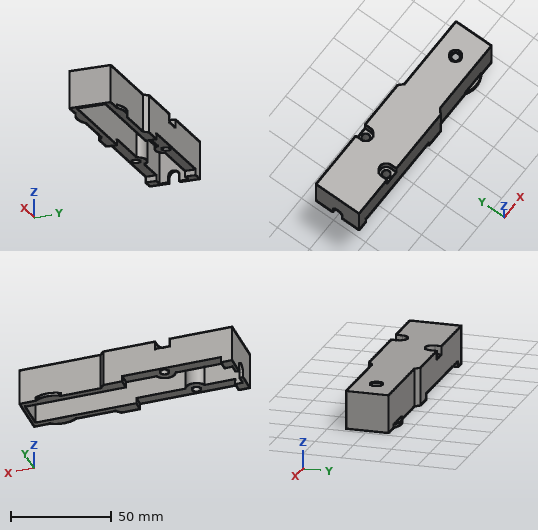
import cadquery as cq

length = 113.4
wide_width = 27.0
narrow_width = 22.2
height = 20.0
wide_length = 68.0
taper = (wide_width - narrow_width) / 2

relief_start = 5.9
relief_end = 58.2
relief_depth = 3.1

end_wall = 1.8
cavity_width = 15.4

slot_width = 5.9
slot_height = 6.0

seat_width = 7.7
seat_depth = 4.4
seat_inset = 3.4
screw_hole_diameter = 4.4
near_seat_x = 27.1
far_seat_x = 37.0
boss_wall = 1.8
screw_seats = [(near_seat_x, -1), (far_seat_x, 1)]

disc_diameter = 26.1
disc_thickness = 1.7

arm_hole_x = 98.2
arm_hole_diameter = 4.4
sink_diameter = 6.5
sink_land = 0.6
sink_cone_depth = (sink_diameter - arm_hole_diameter) / 2
roof = sink_land + sink_cone_depth


def make_block():
    """Plan outline, symmetric about the X axis, raised to full height."""
    half_wide = wide_width / 2
    half_narrow = narrow_width / 2
    outline = (
        cq.Workplane("XY")
        .moveTo(0, 0)
        .lineTo(0, half_wide)
        .lineTo(wide_length, half_wide)
        .lineTo(wide_length + taper, half_narrow)
        .lineTo(length, half_narrow)
        .lineTo(length, 0)
        .mirrorX()
    )
    return outline.extrude(height)


def make_disc():
    return cq.Workplane("XY").center(arm_hole_x, 0).circle(disc_diameter / 2).extrude(disc_thickness)


def underside_pocket(x_start, x_end, width, depth):
    """Box rising from the bottom face, centred across the part."""
    pocket = cq.Workplane("XY").box(x_end - x_start, width, depth, (False, True, False))
    return pocket.translate((x_start, 0, 0))


def side_lobe(x, side, width, bottom, top):
    """Upright round-ended lobe reaching a side face, centred on a screw hole."""
    edge_y = side * wide_width / 2
    hole_y = edge_y - side * seat_inset
    base = cq.Workplane("XY", origin=(x, 0, bottom))
    round_end = base.center(0, hole_y).circle(width / 2).extrude(top - bottom)
    shank = base.center(0, (hole_y + edge_y) / 2).rect(width, seat_inset).extrude(top - bottom)
    return round_end.union(shank)


def make_cavity():
    """Hollow below the roof, interrupted by a boss under each screw seat."""
    cavity = underside_pocket(end_wall, length - end_wall, cavity_width, height - roof)
    for x, side in screw_seats:
        cavity = cavity.cut(side_lobe(x, side, seat_width + 2 * boss_wall, relief_depth, height))
    return cavity


def make_slot():
    """Round-topped slot running along X through the end wall."""
    radius = slot_width / 2
    return (
        cq.Workplane("YZ")
        .moveTo(-radius, 0)
        .lineTo(-radius, slot_height - radius)
        .threePointArc((0, slot_height), (radius, slot_height - radius))
        .lineTo(radius, 0)
        .close()
        .extrude(end_wall)
    )


def make_screw_seat(x, side):
    """Recess open to one side face (side = +1 or -1), with its through hole."""
    recess = side_lobe(x, side, seat_width, height - seat_depth, height)
    hole_y = side * (wide_width / 2 - seat_inset)
    hole = cq.Workplane("XY").center(x, hole_y).circle(screw_hole_diameter / 2).extrude(height)
    return recess.union(hole)


def make_arm_hole():
    """Cone through the roof, below a short straight land at the top face."""
    hole_radius = arm_hole_diameter / 2
    sink_radius = sink_diameter / 2
    profile = (
        cq.Workplane("XZ")
        .moveTo(0, height - roof)
        .lineTo(hole_radius, height - roof)
        .lineTo(sink_radius, height - sink_land)
        .lineTo(sink_radius, height)
        .lineTo(0, height)
        .close()
    )
    return profile.revolve(360, (0, 0, 0), (0, 1, 0)).translate((arm_hole_x, 0, 0))


result = (
    make_block()
    .union(make_disc())
    .cut(underside_pocket(relief_start, relief_end, wide_width, relief_depth))
    .cut(make_cavity())
    .cut(make_slot())
    .cut(make_arm_hole())
)
for seat_x, seat_side in screw_seats:
    result = result.cut(make_screw_seat(seat_x, seat_side))